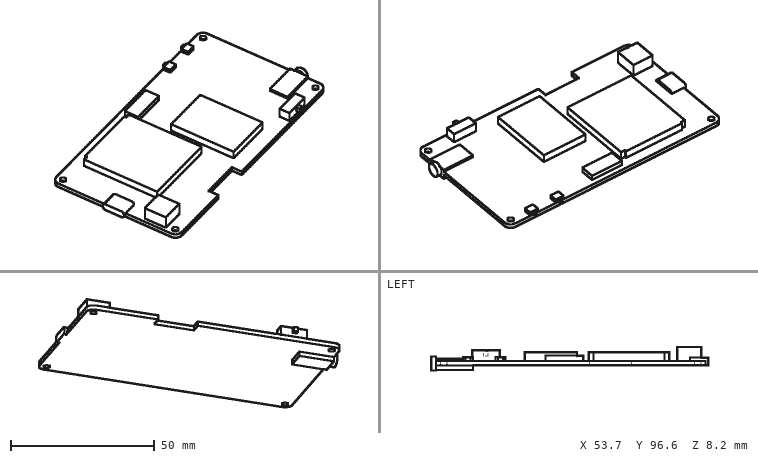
import cadquery as cq

board_width = 52.3
board_length = 93.9
board_thickness = 1.6
corner_radius = 2.6
hole_diameter = 2.2
hole_inset = 2.7

notch_depth = 4.1
notch_start = 25.8
notch_length = 14.7

memory_chip = (20.1, 44.7, 26.1, 18.35, 3.0)
processor = (4.9, 12.7, 30.5, 28.1, 3.0)
flat_connector = (2.1, 42.6, 5.6, 13.1, 1.8)
power_block = (37.7, 1.45, 8.8, 8.5, 4.8)

processor_step_depth = 0.7
processor_step_length = 24.7

button_left = 0.3
button_width = 2.9
button_length = 3.5
button_height = 1.3
button_fronts = (69.7, 81.0)
plunger_overhang = 0.4
plunger_length = 1.6
plunger_height = 1.2

switch_left = 47.6
switch_front = 71.7
switch_width = 4.1
switch_length = 9.7
switch_height = 3.7
lever_overhang = 1.0
lever_length = 1.5
lever_thickness = 1.5
lever_center_y = 76.6
lever_center_z = 4.2

jack_left = 37.3
jack_width = 7.4
jack_length = 12.8
jack_bottom = -1.6
jack_top = 2.4
barrel_diameter = 5.0
barrel_overhang = 1.7
barrel_bottom = -1.8

socket_left = 21.7
socket_width = 8.9
socket_length = 6.4
socket_overhang = 1.0
socket_bottom = 0
socket_height = 2.7
socket_radius = 1.2


def block(left, front, bottom, width, length, height):
    """Box given by its lower left front corner and its size."""
    return cq.Workplane("XY").box(width, length, height, centered=False).translate((left, front, bottom))


def make_board():
    board = block(0, 0, 0, board_width, board_length, board_thickness)
    board = board.edges("|Z").fillet(corner_radius)
    board = board.cut(
        block(board_width - notch_depth, notch_start, 0, notch_depth, notch_length, board_thickness)
    )
    hole_centers = [
        (x, y)
        for x in (hole_inset, board_width - hole_inset)
        for y in (hole_inset, board_length - hole_inset)
    ]
    holes = cq.Workplane("XY").pushPoints(hole_centers).circle(hole_diameter / 2).extrude(board_thickness)
    return board.cut(holes)


def make_component(left, front, width, length, height):
    return block(left, front, board_thickness, width, length, height)


def make_processor_step():
    left, front, _, length, height = processor
    step_front = front + (length - processor_step_length) / 2
    return make_component(
        left - processor_step_depth, step_front, processor_step_depth, processor_step_length, height
    )


def make_button(front):
    body = make_component(button_left, front, button_width, button_length, button_height)
    plunger_front = front + (button_length - plunger_length) / 2
    plunger = make_component(
        -plunger_overhang, plunger_front, plunger_overhang + button_left, plunger_length, plunger_height
    )
    return body.union(plunger)


def make_switch():
    body = make_component(switch_left, switch_front, switch_width, switch_length, switch_height)
    switch_right = switch_left + switch_width
    lever = block(
        switch_right,
        lever_center_y - lever_length / 2,
        lever_center_z - lever_thickness / 2,
        board_width + lever_overhang - switch_right,
        lever_length,
        lever_thickness,
    )
    return body.union(lever)


def make_jack():
    body = block(
        jack_left, board_length - jack_length, jack_bottom, jack_width, jack_length, jack_top - jack_bottom
    )
    barrel_radius = barrel_diameter / 2
    barrel = (
        cq.Workplane("XZ", origin=(jack_left + jack_width / 2, board_length, barrel_bottom + barrel_radius))
        .circle(barrel_radius)
        .extrude(-barrel_overhang)
    )
    return body.union(barrel)


def make_socket():
    socket = block(
        socket_left, -socket_overhang, socket_bottom, socket_width, socket_length, socket_height
    )
    return socket.edges("|Y").fillet(socket_radius)


result = make_board()
for component in (memory_chip, processor, flat_connector, power_block):
    result = result.union(make_component(*component))
for button_front in button_fronts:
    result = result.union(make_button(button_front))
for feature in (make_processor_step(), make_switch(), make_jack(), make_socket()):
    result = result.union(feature)